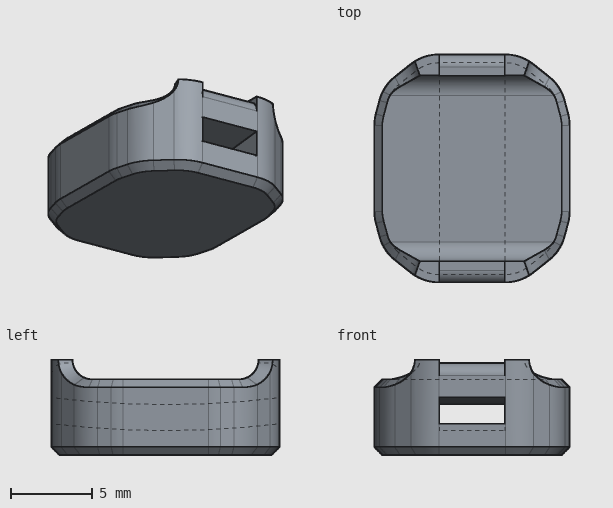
import cadquery as cq
import math

LENGTH_X = 12.0
LENGTH_Y = 14.0
HEIGHT = 5.86
HALF_X = LENGTH_X / 2
HALF_Y = LENGTH_Y / 2

SIDE_CORNER = (HALF_X, 3.0)
MID_CORNER = (5.45, 5.05)
END_CORNER = (3.0, HALF_Y)
CORNER_RADIUS = 2.75

DECK_Z = 4.66
FOOT_RADIUS = HEIGHT - DECK_Z
WALL_INNER_Y = 5.7
FOOT_START_Y = WALL_INNER_Y - FOOT_RADIUS

BEVEL = 0.5
BEVEL_OVERCUT = 2.0
BEVEL_STATIONS = 7

BAR_WIDTH = 4.0
BAR_TOP_Z = 5.66
BAR_ROUND = 0.75

TUNNEL_FLOOR_Z = 1.94
TUNNEL_CEILING_Z = 3.54
TUNNEL_SAG = 0.42


def blank():
    """Prism over the rounded twelve-sided plan outline, bevelled at the bottom."""
    quarter = [SIDE_CORNER, MID_CORNER, END_CORNER]
    upper = quarter + [(-x, y) for x, y in reversed(quarter)]
    lower = [(-x, -y) for x, y in upper]
    prism = cq.Workplane("XY").polyline(upper + lower).close().extrude(HEIGHT)
    prism = prism.edges("|Z").fillet(CORNER_RADIUS)
    return prism.faces("<Z").chamfer(BEVEL)


def deck_cutter():
    """Everything above the deck, between the end walls, with rounded wall feet."""
    return (
        cq.Workplane("XY")
        .box(2 * LENGTH_X, 2 * WALL_INNER_Y, 2 * FOOT_RADIUS)
        .edges("<Z and |X")
        .fillet(FOOT_RADIUS)
        .translate((0, 0, HEIGHT))
    )


def bar_cutter():
    """Lowers the +Y wall between its arms and rounds the bar's outer top edge."""
    y_round = HALF_Y - BAR_ROUND
    z_round = BAR_TOP_Z - BAR_ROUND
    bend = BAR_ROUND * math.sqrt(0.5)
    return (
        cq.Workplane("YZ")
        .moveTo(FOOT_START_Y, BAR_TOP_Z)
        .lineTo(y_round, BAR_TOP_Z)
        .threePointArc((y_round + bend, z_round + bend), (HALF_Y, z_round))
        .lineTo(LENGTH_Y, z_round)
        .lineTo(LENGTH_Y, 2 * HEIGHT)
        .lineTo(FOOT_START_Y, 2 * HEIGHT)
        .close()
        .extrude(BAR_WIDTH / 2, both=True)
    )


def tunnel_cutter():
    """Strap passage whose floor and ceiling both sag towards the middle."""
    return (
        cq.Workplane("YZ")
        .moveTo(-HALF_Y, TUNNEL_FLOOR_Z)
        .threePointArc((0, TUNNEL_FLOOR_Z - TUNNEL_SAG), (HALF_Y, TUNNEL_FLOOR_Z))
        .lineTo(HALF_Y, TUNNEL_CEILING_Z)
        .threePointArc((0, TUNNEL_CEILING_Z - TUNNEL_SAG), (-HALF_Y, TUNNEL_CEILING_Z))
        .close()
        .extrude(BAR_WIDTH / 2, both=True)
    )


def normal_angle(start, end):
    """Outward normal angle of the outline side running counter-clockwise from start to end."""
    return math.atan2(end[1] - start[1], end[0] - start[0]) - math.pi / 2


def arc_centre(corner, angle_in, angle_out):
    """Centre of the rounding at a corner between sides with these normal angles."""
    middle = (angle_in + angle_out) / 2
    reach = CORNER_RADIUS / math.cos((angle_out - angle_in) / 2)
    return (corner[0] - reach * math.cos(middle), corner[1] - reach * math.sin(middle))


def bevel_section(centre, angle):
    """Triangle to remove beside the outline arc point at this normal angle."""
    wall_normal = cq.Vector(math.cos(angle), math.sin(angle), 0)
    inset = CORNER_RADIUS - BEVEL
    x = centre[0] + inset * wall_normal.x
    y = centre[1] + inset * wall_normal.y
    lean = max(0.0, min(1.0, (y - FOOT_START_Y) / (FOOT_RADIUS + BEVEL)))
    rise = math.sqrt(1 - lean ** 2)
    deck_normal = cq.Vector(0, -lean, rise)
    ball = cq.Vector(x, y, HEIGHT - (FOOT_RADIUS + BEVEL) * rise)
    edge_reach = BEVEL / (1 + wall_normal.dot(deck_normal))
    outside = ball + (wall_normal + deck_normal) * (BEVEL_OVERCUT * edge_reach)
    corners = [ball + wall_normal * BEVEL, ball + deck_normal * BEVEL, outside]
    return cq.Wire.makePolygon(corners, close=True)


def arc_bevel(centre, angle_from, angle_to):
    """Bevel cutter along a rounded stretch of the outline."""
    step = (angle_to - angle_from) / (BEVEL_STATIONS - 1)
    sections = [bevel_section(centre, angle_from + i * step) for i in range(BEVEL_STATIONS)]
    return cq.Solid.makeLoft(sections)


def line_bevel(centre_from, centre_to, angle):
    """Bevel cutter along a straight stretch, between the arcs at its two ends."""
    step = [(b - a) / (BEVEL_STATIONS - 1) for a, b in zip(centre_from, centre_to)]
    sections = []
    for i in range(BEVEL_STATIONS):
        centre = (centre_from[0] + i * step[0], centre_from[1] + i * step[1])
        sections.append(bevel_section(centre, angle))
    return cq.Solid.makeLoft(sections)


def quarter_bevels():
    """Upper bevel cutters for the +X +Y quarter, from mid-side to the wall top."""
    side_angle = 0.0
    flank_angle = normal_angle(SIDE_CORNER, MID_CORNER)
    shoulder_angle = normal_angle(MID_CORNER, END_CORNER)
    side = arc_centre(SIDE_CORNER, side_angle, flank_angle)
    mid = arc_centre(MID_CORNER, flank_angle, shoulder_angle)

    inset = CORNER_RADIUS - BEVEL
    foot_angle = math.asin((FOOT_START_Y - mid[1]) / inset)
    top_y = WALL_INNER_Y + BEVEL - inset * math.sin(shoulder_angle)
    top_x = mid[0] - (top_y - mid[1]) * math.tan(shoulder_angle)
    return [
        line_bevel((side[0], 0), side, side_angle),
        arc_bevel(side, side_angle, flank_angle),
        line_bevel(side, mid, flank_angle),
        arc_bevel(mid, flank_angle, foot_angle),
        arc_bevel(mid, foot_angle, shoulder_angle),
        line_bevel(mid, (top_x, top_y), shoulder_angle),
    ]


result = blank().cut(deck_cutter())
result = result.cut(bar_cutter()).cut(bar_cutter().mirror("XZ"))
result = result.cut(tunnel_cutter())
for bevel in quarter_bevels():
    quarter_cutter = cq.Workplane(obj=bevel)
    for cutter in (quarter_cutter, quarter_cutter.mirror("XZ")):
        result = result.cut(cutter).cut(cutter.mirror("YZ"))